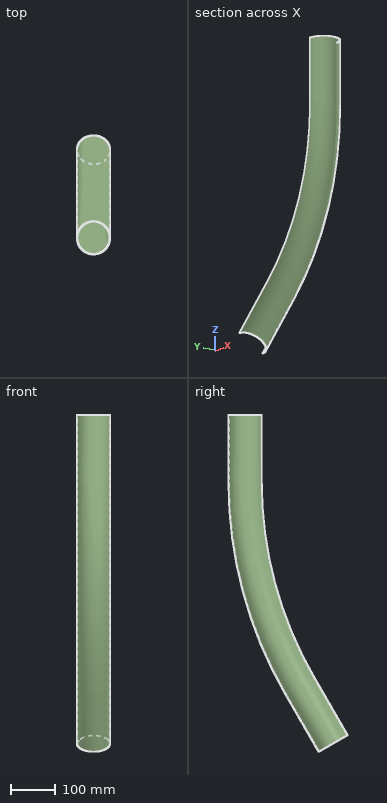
import cadquery as cq
import math

overall_height = 761.0
outer_diameter = 76.0
inner_diameter = 72.0
straight_length = 152.0
bend_angle = 30.0

angle = math.radians(bend_angle)
lower_straight_height = straight_length * math.cos(angle)
lower_rim_drop = outer_diameter / 2 * math.sin(angle)
bend_height = overall_height - straight_length - lower_straight_height - lower_rim_drop
bend_radius = bend_height / math.sin(angle)


def bend_point(turn):
    """Point (Y, Z) on the bend centreline after turning by the given angle."""
    return (
        bend_radius * (1 - math.cos(turn)),
        -straight_length - bend_radius * math.sin(turn),
    )


bend_start = bend_point(0)
bend_middle = bend_point(angle / 2)
bend_end = bend_point(angle)
lower_end = (
    bend_end[0] + straight_length * math.sin(angle),
    bend_end[1] - lower_straight_height,
)
centreline = (
    cq.Workplane("YZ")
    .moveTo(0, 0)
    .lineTo(*bend_start)
    .threePointArc(bend_middle, bend_end)
    .lineTo(*lower_end)
)

pipe_section = cq.Workplane("XY").circle(outer_diameter / 2).circle(inner_diameter / 2)
result = pipe_section.sweep(centreline)